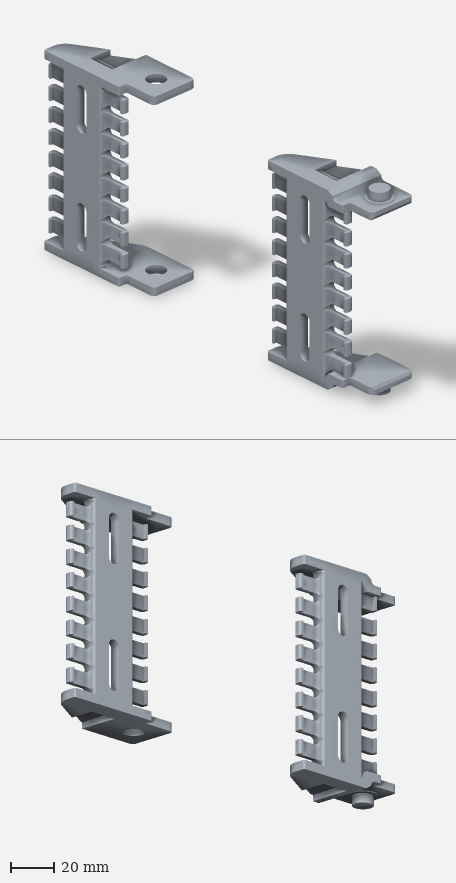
import cadquery as cq
import math

HALF_HEIGHT = 52.0
DEPTH = 31.0
ARM_THICKNESS = 4.5
INNER_HALF = HALF_HEIGHT - ARM_THICKNESS
BRACKET_SPACING = 150.0

COMB_WIDTH = 50.7
CENTRE_X = COMB_WIDTH / 2
COLUMN_HALF_WIDTH = 12.85
COLUMN_DEPTH = 6.7
COLUMN_EDGE_RADIUS = 1.2
WEB_THICKNESS = 5.0
CHANNEL_WIDTH = 20.0
TOOTH_FRONT_Y = 4.0
TOOTH_ROOT_RADIUS = 2.0
TOOTH_TIP_BACK_RADIUS = 1.4
LIP_WIDTH = 2.0
LIP_FRONT_Y = 2.4
LIP_CHAMFER_X = 0.7
LIP_CHAMFER_Y = 0.9
TOOTH_COUNT = 8
TOOTH_PITCH = 11.5
TOOTH_HEIGHT = 7.0
GAP_ROOT_OVERLAP = 0.3

SLOT_LENGTH = 24.8
SLOT_WIDTH = 6.6
SLOT_CENTRE_Z = 30.7

SLOPE_ANGLE = 30.0
SLOPE_START_Y = 10.7
SLOPE_LOW_RADIUS = 9.0
SLOPE_HIGH_RADIUS = 5.0
FRONT_CORNER_RADIUS = 1.0
END_CORNER_RADIUS = 2.3
END_STEP_Y = 4.7
HINGE_X = 56.5
HINGE_Y = 18.0

POCKET_LENGTH = 14.9
POCKET_DEPTH = 3.1
BARB_HEIGHT = 1.5

HOLE_ARM_LENGTH = 69.0
HOLE_DIAMETER = 10.2
HOLE_POCKET_X = 20.8
HOLE_POCKET_Y = 9.9
HOLE_BARB_Y = (13.1, 13.7, 17.0)

PIN_ARM_LENGTH = 65.5
PIN_DIAMETER = 10.1
PIN_TOP = 52.7
PIN_COLLAR_DIAMETER = 14.0
PIN_COLLAR_HEIGHT = 0.5
PIN_POCKET_X = 22.0
PIN_POCKET_Y = 9.3
PIN_BARB_Y = (11.8, 13.1, 15.8)
TAB_THICKNESS = 4.0
TAB_DROP = 4.5
TAB_TOP = HALF_HEIGHT - TAB_DROP
TAB_BOTTOM = TAB_TOP - TAB_THICKNESS
TAB_LEAD_IN_X = 0.8
TAB_LEAD_IN_Z = 1.6
BEND_TOP_START_X = 40.8
BEND_KNEE_X = 43.9
BEND_KNEE_DROP = 2.1
BEND_BOTTOM_START_X = 38.1
BEND_BOTTOM_END_X = 41.2


def mirrored_in_z(body):
    """The body together with its copy below the plane z = 0."""
    return body.union(body.mirror("XY"))


def half_comb_section():
    """Right half of the column and tooth section, in XY about x = 0, extruded over the inner height."""
    tip_x = COMB_WIDTH / 2
    wall_x = COLUMN_HALF_WIDTH
    return (
        cq.Workplane("XY", origin=(0, 0, -INNER_HALF))
        .moveTo(0, 0)
        .lineTo(wall_x - COLUMN_EDGE_RADIUS, 0)
        .radiusArc((wall_x, COLUMN_EDGE_RADIUS), -COLUMN_EDGE_RADIUS)
        .lineTo(wall_x, TOOTH_FRONT_Y - TOOTH_ROOT_RADIUS)
        .radiusArc((wall_x + TOOTH_ROOT_RADIUS, TOOTH_FRONT_Y), TOOTH_ROOT_RADIUS)
        .lineTo(tip_x - LIP_WIDTH, TOOTH_FRONT_Y)
        .lineTo(tip_x - LIP_WIDTH, LIP_FRONT_Y)
        .lineTo(tip_x - LIP_CHAMFER_X, LIP_FRONT_Y)
        .lineTo(tip_x, LIP_FRONT_Y + LIP_CHAMFER_Y)
        .lineTo(tip_x, COLUMN_DEPTH - TOOTH_TIP_BACK_RADIUS)
        .radiusArc((tip_x - TOOTH_TIP_BACK_RADIUS, COLUMN_DEPTH), -TOOTH_TIP_BACK_RADIUS)
        .lineTo(0, COLUMN_DEPTH)
        .close()
        .extrude(2 * INNER_HALF)
    )


def tooth_gap(bottom, top):
    """Cutter for one gap beside the right edge, with a round end at the column."""
    radius = (top - bottom) / 2
    middle = (top + bottom) / 2
    root_x = COLUMN_HALF_WIDTH - GAP_ROOT_OVERLAP
    length = COMB_WIDTH
    return (
        cq.Workplane("XZ")
        .center(root_x + length / 2, middle)
        .slot2D(length, 2 * radius)
        .extrude(-COLUMN_DEPTH)
    )


def comb():
    """Column with two rows of teeth, two mounting slots and a shallow channel in its back."""
    half = half_comb_section()
    gap_top = INNER_HALF
    for index in range(TOOTH_COUNT):
        tooth_middle = ((TOOTH_COUNT - 1) / 2 - index) * TOOTH_PITCH
        half = half.cut(tooth_gap(tooth_middle + TOOTH_HEIGHT / 2, gap_top))
        gap_top = tooth_middle - TOOTH_HEIGHT / 2
    half = half.cut(tooth_gap(-INNER_HALF, gap_top))
    slots = (
        cq.Workplane("XZ")
        .pushPoints([(0, SLOT_CENTRE_Z), (0, -SLOT_CENTRE_Z)])
        .slot2D(SLOT_LENGTH, SLOT_WIDTH, 90)
        .extrude(-COLUMN_DEPTH)
    )
    channel = cq.Workplane("XY").box(
        CHANNEL_WIDTH, COLUMN_DEPTH - WEB_THICKNESS, 2 * INNER_HALF, centered=(True, False, True)
    ).translate((0, WEB_THICKNESS, 0))
    body = half.union(half.mirror("YZ")).cut(slots).cut(channel)
    return body.translate((CENTRE_X, 0, 0))


def arm_blank(length, bottom):
    """Arm outline in XY, extruded from the given height up to the top of the bracket."""
    slope_end_x = (DEPTH - SLOPE_START_Y) / math.tan(math.radians(SLOPE_ANGLE))
    blank = (
        cq.Workplane("XY", origin=(0, 0, bottom))
        .polyline([
            (0, 0),
            (COMB_WIDTH, 0),
            (COMB_WIDTH, END_STEP_Y),
            (length, END_STEP_Y),
            (length, DEPTH),
            (slope_end_x, DEPTH),
            (0, SLOPE_START_Y),
        ])
        .close()
        .extrude(HALF_HEIGHT - bottom)
    )
    corner_radii = [
        ((0, 0), FRONT_CORNER_RADIUS),
        ((COMB_WIDTH, 0), FRONT_CORNER_RADIUS),
        ((COMB_WIDTH, END_STEP_Y), FRONT_CORNER_RADIUS),
        ((length, END_STEP_Y), END_CORNER_RADIUS),
        ((length, DEPTH), END_CORNER_RADIUS),
        ((slope_end_x, DEPTH), SLOPE_HIGH_RADIUS),
        ((0, SLOPE_START_Y), SLOPE_LOW_RADIUS),
    ]
    for (x, y), radius in corner_radii:
        corner = cq.selectors.NearestToPointSelector((x, y, (HALF_HEIGHT + bottom) / 2))
        blank = blank.edges("|Z").edges(corner).fillet(radius)
    return blank


def latch_pocket(start_x, start_y, barb_y):
    """Cutter for a pocket in the top of an arm, open at the slope, leaving a barb on the floor."""
    floor = HALF_HEIGHT - POCKET_DEPTH
    barb_top = floor + BARB_HEIGHT
    steep_y, flat_end_y, ramp_foot_y = barb_y
    return (
        cq.Workplane("YZ", origin=(start_x, 0, 0))
        .polyline([
            (start_y, HALF_HEIGHT),
            (start_y, floor),
            (steep_y, floor),
            (steep_y, barb_top),
            (flat_end_y, barb_top),
            (ramp_foot_y, floor),
            (DEPTH, floor),
            (DEPTH, HALF_HEIGHT),
        ])
        .close()
        .extrude(POCKET_LENGTH)
    )


def hole_arm():
    """Flat upper arm with the hinge hole."""
    hole = (
        cq.Workplane("XY", origin=(HINGE_X, HINGE_Y, INNER_HALF))
        .circle(HOLE_DIAMETER / 2)
        .extrude(ARM_THICKNESS)
    )
    pocket = latch_pocket(HOLE_POCKET_X, HOLE_POCKET_Y, HOLE_BARB_Y)
    return arm_blank(HOLE_ARM_LENGTH, INNER_HALF).cut(hole).cut(pocket)


def bent_arm_side():
    """Side shape of the bent arm in XZ, extruded over the arm depth."""
    knee_x = BEND_KNEE_X
    knee_z = HALF_HEIGHT - BEND_KNEE_DROP
    bend_radius = knee_z - TAB_TOP
    return (
        cq.Workplane("XZ")
        .moveTo(0, HALF_HEIGHT)
        .lineTo(BEND_TOP_START_X, HALF_HEIGHT)
        .lineTo(knee_x, knee_z)
        .radiusArc((knee_x + bend_radius, TAB_TOP), -bend_radius)
        .lineTo(PIN_ARM_LENGTH, TAB_TOP)
        .lineTo(PIN_ARM_LENGTH, TAB_BOTTOM + TAB_LEAD_IN_Z)
        .lineTo(PIN_ARM_LENGTH - TAB_LEAD_IN_X, TAB_BOTTOM)
        .lineTo(BEND_BOTTOM_END_X, TAB_BOTTOM)
        .lineTo(BEND_BOTTOM_START_X, INNER_HALF)
        .lineTo(0, INNER_HALF)
        .close()
        .extrude(-DEPTH)
    )


def pin_arm():
    """Upper arm bent inward to a tab that carries the hinge pin on a low collar."""
    pocket = latch_pocket(PIN_POCKET_X, PIN_POCKET_Y, PIN_BARB_Y)
    arm = arm_blank(PIN_ARM_LENGTH, TAB_BOTTOM).intersect(bent_arm_side()).cut(pocket)
    hinge_plane = cq.Workplane("XY", origin=(HINGE_X, HINGE_Y, TAB_TOP))
    collar = hinge_plane.circle(PIN_COLLAR_DIAMETER / 2).extrude(PIN_COLLAR_HEIGHT)
    pin = hinge_plane.circle(PIN_DIAMETER / 2).extrude(PIN_TOP - TAB_TOP)
    return arm.union(collar).union(pin)


def hole_bracket():
    return comb().union(mirrored_in_z(hole_arm()))


def pin_bracket():
    body = comb().union(mirrored_in_z(pin_arm()))
    return body.translate((BRACKET_SPACING, 0, 0))


result = cq.Compound.makeCompound([hole_bracket().val(), pin_bracket().val()])